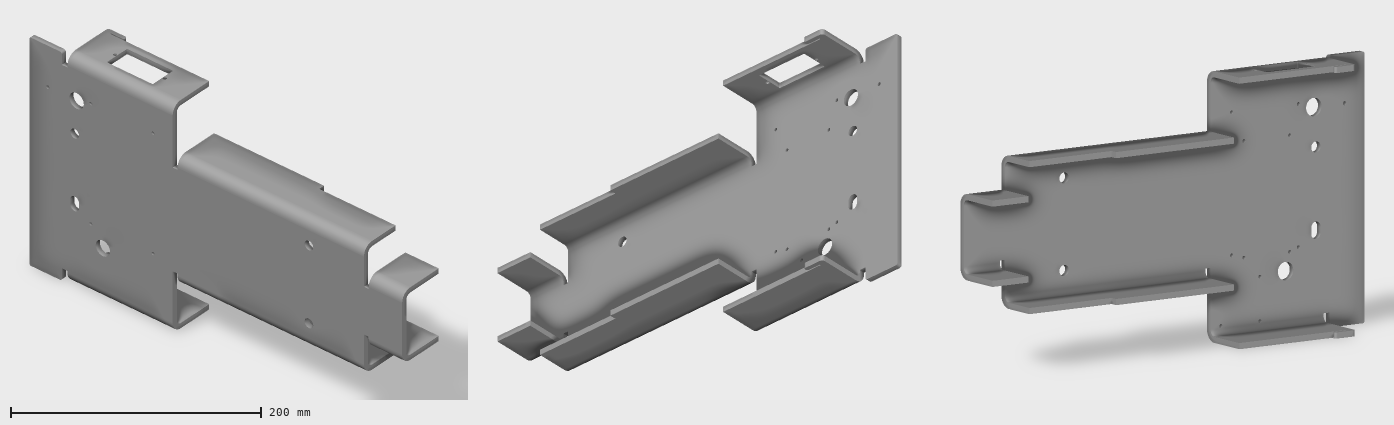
import cadquery as cq

SHEET = 5.0
INNER_BEND_RADIUS = 5.0
OUTER_BEND_RADIUS = INNER_BEND_RADIUS + SHEET

PLATE_LENGTH = 390.0
HEAD_HALF_HEIGHT = 110.0
BODY_HALF_HEIGHT = 62.0
TAIL_HALF_HEIGHT = 35.0
RELIEF_DEPTH = 12.0
HEAD_EAR_END = 34.0
EAR_CORNER_RADIUS = 2.0

HEAD_FLANGE = (40.0, 150.0)
BODY_FLANGE = (155.0, 350.0)
TAIL_FLANGE = (355.0, PLATE_LENGTH)

FLANGE_DEPTH = 45.0
BODY_STEP_DEPTH = 39.0
BODY_STEP_START = 270.0

HOOK_DEPTH = 50.0
HOOK_LENGTH = 20.0
HOOK_GAP = 1.0
HOOK_ROOT_LENGTH = 6.5
HOOK_CORNER_RADIUS = 3.0

WINDOW_CENTER = (94.5, 25.0)
WINDOW_SIZE = (48.0, 25.0)
WINDOW_CORNER_RADIUS = 1.0
WINDOW_SCREW_SPACING = 52.0
WINDOW_SCREW_DIAMETER = 3.3

MOUNT_DIAMETER = 9.0
MOUNT_X = (47.5, 292.5)
MOUNT_Z = 37.5
MOUNT_SLOT_LENGTH = 14.0
MOUNT_SLOT_Z = -30.0
CABLE_DIAMETER = 15.0
CABLE_HOLES = [(49.5, 70.0), (77.0, -60.0)]
SMALL_DIAMETER = 3.0
SMALL_X = (64.5, 129.5)
SMALL_Z = (74.0, -42.0)
LEFT_HOLE_DIAMETER = 3.3
LEFT_HOLE = (19.5, 70.0)

BLIND_DIAMETER = 3.0
BLIND_SKIN = 1.0
BLIND_X = (73.0, 117.5)
BLIND_Z = (49.5, -45.0)
LOWER_BLIND_HOLES = [(102.0, -62.0), (102.0, -98.0), (140.0, -98.0)]


def plate_box(x_start, x_end, half_height):
    """Stretch of the plate, symmetric about Z = 0."""
    return (
        cq.Workplane("XY")
        .box(x_end - x_start, SHEET, 2 * half_height, centered=(False, False, True))
        .translate((x_start, 0, 0))
    )


def ear_plate():
    """Left end of the plate, full height, with rounded outer corners."""
    return plate_box(0, HEAD_EAR_END, HEAD_HALF_HEIGHT).edges("|Y").fillet(EAR_CORNER_RADIUS)


def flat_plate():
    """Plate up to the relief lines, where the bends are notched free at their ends."""
    head_relief = HEAD_HALF_HEIGHT - RELIEF_DEPTH
    body_relief = BODY_HALF_HEIGHT - RELIEF_DEPTH
    tail_relief = TAIL_HALF_HEIGHT - RELIEF_DEPTH
    return (
        ear_plate()
        .union(plate_box(0, HEAD_FLANGE[1], head_relief))
        .union(plate_box(HEAD_FLANGE[1], BODY_FLANGE[1], body_relief))
        .union(plate_box(BODY_FLANGE[1], PLATE_LENGTH, tail_relief))
    )


def flange(x_range, half_height, depth):
    """Upper flange with its bend, reaching down to the relief line."""
    x_start, x_end = x_range
    relief = half_height - RELIEF_DEPTH
    bend_start = half_height - OUTER_BEND_RADIUS
    return (
        cq.Workplane("YZ", origin=(x_start, 0, 0))
        .moveTo(0, relief)
        .lineTo(0, bend_start)
        .radiusArc((OUTER_BEND_RADIUS, half_height), OUTER_BEND_RADIUS)
        .lineTo(depth, half_height)
        .lineTo(depth, half_height - SHEET)
        .lineTo(OUTER_BEND_RADIUS, half_height - SHEET)
        .radiusArc((SHEET, bend_start), -INNER_BEND_RADIUS)
        .lineTo(SHEET, relief)
        .close()
        .extrude(x_end - x_start)
    )


def hook():
    """Lip beyond the flange edge, joined to it at its root and free along a narrow gap."""
    root_x = HEAD_FLANGE[0]
    gap_top = FLANGE_DEPTH + HOOK_GAP
    tip_radius = (HOOK_DEPTH - gap_top) / 2
    tip_x = root_x + HOOK_LENGTH
    return (
        cq.Workplane("XY", origin=(0, 0, HEAD_HALF_HEIGHT - SHEET))
        .moveTo(root_x, FLANGE_DEPTH)
        .lineTo(root_x, HOOK_DEPTH - HOOK_CORNER_RADIUS)
        .radiusArc((root_x + HOOK_CORNER_RADIUS, HOOK_DEPTH), HOOK_CORNER_RADIUS)
        .lineTo(tip_x - tip_radius, HOOK_DEPTH)
        .radiusArc((tip_x - tip_radius, gap_top), tip_radius)
        .lineTo(root_x + HOOK_ROOT_LENGTH, gap_top)
        .lineTo(root_x + HOOK_ROOT_LENGTH, FLANGE_DEPTH)
        .close()
        .extrude(SHEET)
    )


def body_flange():
    """Body flange, shallower toward the tail."""
    step_length = BODY_FLANGE[1] - BODY_STEP_START
    step_depth = FLANGE_DEPTH - BODY_STEP_DEPTH
    step = (
        cq.Workplane("XY")
        .box(step_length, step_depth, BODY_HALF_HEIGHT, centered=False)
        .translate((BODY_STEP_START, BODY_STEP_DEPTH, 0))
    )
    return flange(BODY_FLANGE, BODY_HALF_HEIGHT, FLANGE_DEPTH).cut(step)


def socket_cutout():
    """Rounded window and its two screw holes, through the upper head flange only."""
    base = cq.Workplane("XY", origin=(*WINDOW_CENTER, HEAD_HALF_HEIGHT - SHEET))
    window = base.rect(*WINDOW_SIZE).extrude(SHEET).edges("|Z").fillet(WINDOW_CORNER_RADIUS)
    screws = base.rarray(WINDOW_SCREW_SPACING, 1, 2, 1).circle(WINDOW_SCREW_DIAMETER / 2).extrude(SHEET)
    return window.union(screws)


def plate_holes(points, diameter, skin=0.0):
    """Round cutters at (X, Z) points, from the rear face up to a skin at the front, if any."""
    floor = cq.Workplane("XZ", origin=(0, skin, 0))
    return floor.pushPoints(points).circle(diameter / 2).extrude(skin - SHEET)


def mount_slot():
    """Upright slot that pairs with the mounting holes."""
    return (
        cq.Workplane("XZ")
        .center(MOUNT_X[0], MOUNT_SLOT_Z)
        .slot2D(MOUNT_SLOT_LENGTH, MOUNT_DIAMETER, 90)
        .extrude(-SHEET)
    )


upper_flanges = [
    flange(HEAD_FLANGE, HEAD_HALF_HEIGHT, FLANGE_DEPTH).union(hook()),
    body_flange(),
    flange(TAIL_FLANGE, TAIL_HALF_HEIGHT, FLANGE_DEPTH),
]

bracket = flat_plate()
for upper in upper_flanges:
    bracket = bracket.union(upper).union(upper.mirror("XY"))

mount_holes = [(MOUNT_X[0], MOUNT_Z), (MOUNT_X[1], MOUNT_Z), (MOUNT_X[1], -MOUNT_Z)]
small_holes = [(x, z) for x in SMALL_X for z in SMALL_Z]
blind_holes = [(x, z) for x in BLIND_X for z in BLIND_Z] + LOWER_BLIND_HOLES

result = (
    bracket.cut(socket_cutout())
    .cut(plate_holes(mount_holes, MOUNT_DIAMETER))
    .cut(mount_slot())
    .cut(plate_holes(CABLE_HOLES, CABLE_DIAMETER))
    .cut(plate_holes(small_holes, SMALL_DIAMETER))
    .cut(plate_holes([LEFT_HOLE], LEFT_HOLE_DIAMETER))
    .cut(plate_holes(blind_holes, BLIND_DIAMETER, BLIND_SKIN))
    .clean()
)